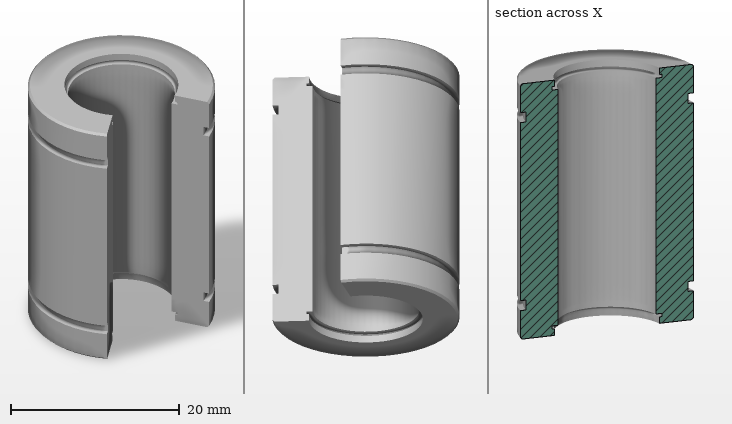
import cadquery as cq
import math

length = 31.75
outer_radius = 11.1
bore_radius = 6.35
edge_chamfer = 0.25

counterbore_radius = 6.75
counterbore_depth = 1.2

undercut_radius = 7.08
undercut_width = 0.35

groove_radius = 10.4
groove_width = 1.17
end_land = 3.62

opening_half_angle = 39.2


def ring(inner_radius, ring_outer_radius, bottom, height):
    """Ring around the Z axis, starting at height bottom."""
    return (
        cq.Workplane("XY", origin=(0, 0, bottom))
        .circle(ring_outer_radius)
        .circle(inner_radius)
        .extrude(height)
    )


def opening_wedge():
    """Wedge with radial sides, reaching past the outer wall."""
    reach = 2 * outer_radius
    half_width = reach * math.tan(math.radians(opening_half_angle))
    return (
        cq.Workplane("XY")
        .polyline([(0, 0), (reach, -half_width), (reach, half_width)])
        .close()
        .extrude(length)
    )


body = cq.Workplane("XY").circle(outer_radius).extrude(length)
body = body.edges().chamfer(edge_chamfer)
body = body.cut(cq.Workplane("XY").circle(bore_radius).extrude(length))

for bottom in (0, length - counterbore_depth):
    body = body.cut(ring(bore_radius, counterbore_radius, bottom, counterbore_depth))

for bottom in (counterbore_depth - undercut_width, length - counterbore_depth):
    body = body.cut(ring(bore_radius, undercut_radius, bottom, undercut_width))

for bottom in (end_land, length - end_land - groove_width):
    body = body.cut(ring(groove_radius, outer_radius, bottom, groove_width))

result = body.cut(opening_wedge())